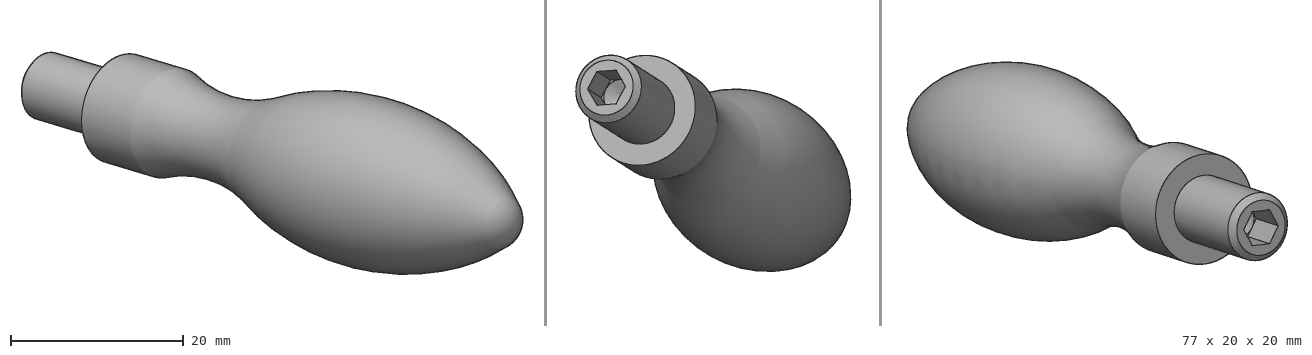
import cadquery as cq
import math

PIN_LENGTH = 13.0
COLLAR_LENGTH = 8.0
NECK_LENGTH = 16.0
BELLY_PEAK_X = 53.2
TIP_START_X = 75.5
OVERALL_LENGTH = 77.0

PIN_DIAMETER = 8.0
PIN_CHAMFER = 0.75
COLLAR_DIAMETER = 13.0
NECK_WAIST_RADIUS = 5.0
BELLY_RADIUS = 10.0
BELLY_ARC_RADIUS = 38.7

SOCKET_ACROSS_FLATS = 4.0
SOCKET_DEPTH = 5.0
SOCKET_CONE_ANGLE = 118.0

pin_radius = PIN_DIAMETER / 2
collar_radius = COLLAR_DIAMETER / 2
collar_end_x = PIN_LENGTH + COLLAR_LENGTH
neck_end_x = collar_end_x + NECK_LENGTH
neck_waist_x = collar_end_x + NECK_LENGTH / 2


def belly_radius_at(x):
    """Radius of the belly where its circular profile crosses station x."""
    arc_height = math.sqrt(BELLY_ARC_RADIUS**2 - (x - BELLY_PEAK_X) ** 2)
    return BELLY_RADIUS - BELLY_ARC_RADIUS + arc_height


def dome_radius_at(x, base_x, base_radius, apex_x):
    """Radius at station x of a spherical cap on a round base."""
    cap_height = apex_x - base_x
    sphere_radius = (base_radius**2 + cap_height**2) / (2 * cap_height)
    center_x = apex_x - sphere_radius
    return math.sqrt(sphere_radius**2 - (x - center_x) ** 2)


def make_body():
    """Pin, collar, waisted neck, belly and domed tip as one solid of revolution."""
    tip_radius = belly_radius_at(TIP_START_X)
    dome_mid_x = (TIP_START_X + OVERALL_LENGTH) / 2
    dome_mid_radius = dome_radius_at(dome_mid_x, TIP_START_X, tip_radius, OVERALL_LENGTH)
    profile = (
        cq.Workplane("XY")
        .moveTo(0, 0)
        .lineTo(0, pin_radius - PIN_CHAMFER)
        .lineTo(PIN_CHAMFER, pin_radius)
        .lineTo(PIN_LENGTH, pin_radius)
        .lineTo(PIN_LENGTH, collar_radius)
        .lineTo(collar_end_x, collar_radius)
        .threePointArc((neck_waist_x, NECK_WAIST_RADIUS), (neck_end_x, belly_radius_at(neck_end_x)))
        .threePointArc((BELLY_PEAK_X, BELLY_RADIUS), (TIP_START_X, tip_radius))
        .threePointArc((dome_mid_x, dome_mid_radius), (OVERALL_LENGTH, 0))
        .close()
    )
    return profile.revolve(360, (0, 0, 0), (1, 0, 0))


def make_socket():
    """Blind hexagon, flats facing up and down, ending in a drill-point cone."""
    across_corners = SOCKET_ACROSS_FLATS / math.cos(math.radians(30))
    hexagon = cq.Workplane("YZ").polygon(6, across_corners).extrude(SOCKET_DEPTH)
    cone_radius = SOCKET_ACROSS_FLATS / 2
    cone_depth = cone_radius / math.tan(math.radians(SOCKET_CONE_ANGLE / 2))
    cone = (
        cq.Workplane("XY")
        .moveTo(SOCKET_DEPTH, 0)
        .lineTo(SOCKET_DEPTH, cone_radius)
        .lineTo(SOCKET_DEPTH + cone_depth, 0)
        .close()
        .revolve(360, (0, 0, 0), (1, 0, 0))
    )
    return hexagon.union(cone)


result = make_body().cut(make_socket())